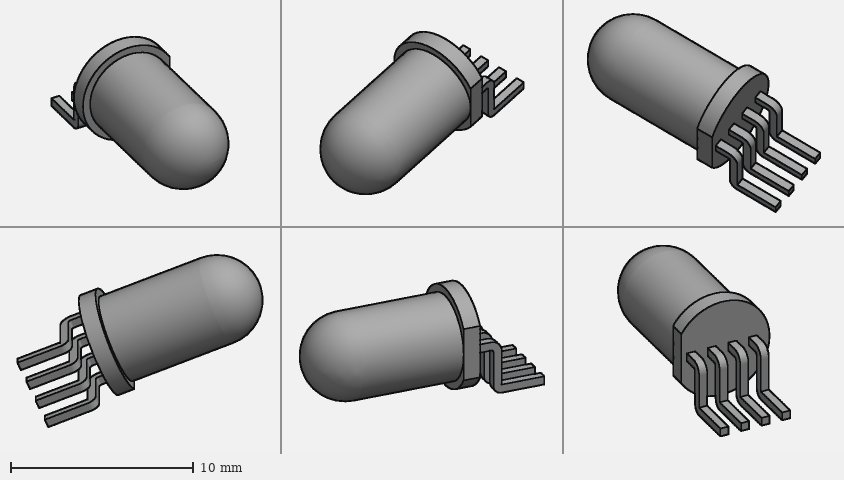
import cadquery as cq
import math

barrel_diameter = 5.0
barrel_radius = barrel_diameter / 2
flange_diameter = 5.9
flange_radius = flange_diameter / 2
flange_thickness = 1.0
flat_offset = barrel_radius
dome_start = 7.0
dome_tip = dome_start + barrel_radius

lead_count = 4
lead_pitch = 1.27
lead_width = 0.5
lead_tail_end = -4.0
lead_drop_back = -1.45
lead_drop_front = lead_drop_back + lead_width
lead_top = lead_width / 2
lead_underside = lead_top - lead_width
tail_bottom = -flange_radius
tail_top = tail_bottom + lead_width
upper_inner_radius = 0.15
upper_outer_radius = upper_inner_radius + lead_width
lower_outer_radius = lead_width


def make_lens():
    """Domed barrel with a flange that has one flat side."""
    flange = cq.Workplane("YZ").circle(flange_radius).extrude(flange_thickness)
    flange_side = cq.Workplane("XY").box(
        flange_thickness, flange_radius, flange_diameter, centered=(False, False, True)
    ).translate((0, flat_offset, 0))
    flange = flange.cut(flange_side)

    dome_mid = barrel_radius * math.cos(math.radians(45))
    barrel = (
        cq.Workplane("XY")
        .lineTo(0, barrel_radius)
        .lineTo(dome_start, barrel_radius)
        .threePointArc((dome_start + dome_mid, dome_mid), (dome_tip, 0))
        .close()
        .revolve(360, (0, 0, 0), (1, 0, 0))
    )
    return flange.union(barrel).solids()


def make_lead(y_center):
    """Z-shaped lead that meets the back face of the flange."""
    return (
        cq.Workplane("XZ", origin=(0, y_center + lead_width / 2, 0))
        .moveTo(0, lead_top)
        .lineTo(lead_drop_back + upper_outer_radius, lead_top)
        .radiusArc((lead_drop_back, lead_top - upper_outer_radius), -upper_outer_radius)
        .lineTo(lead_drop_back, tail_top)
        .lineTo(lead_tail_end, tail_top)
        .lineTo(lead_tail_end, tail_bottom)
        .lineTo(lead_drop_front - lower_outer_radius, tail_bottom)
        .radiusArc((lead_drop_front, tail_bottom + lower_outer_radius), -lower_outer_radius)
        .lineTo(lead_drop_front, lead_underside - upper_inner_radius)
        .radiusArc((lead_drop_front + upper_inner_radius, lead_underside), upper_inner_radius)
        .lineTo(0, lead_underside)
        .close()
        .extrude(lead_width)
    )


lens = make_lens()

first_lead_y = -(lead_count - 1) * lead_pitch / 2
leads = [make_lead(first_lead_y + i * lead_pitch) for i in range(lead_count)]

result = cq.Compound.makeCompound([lens.val(), *[lead.val() for lead in leads]])